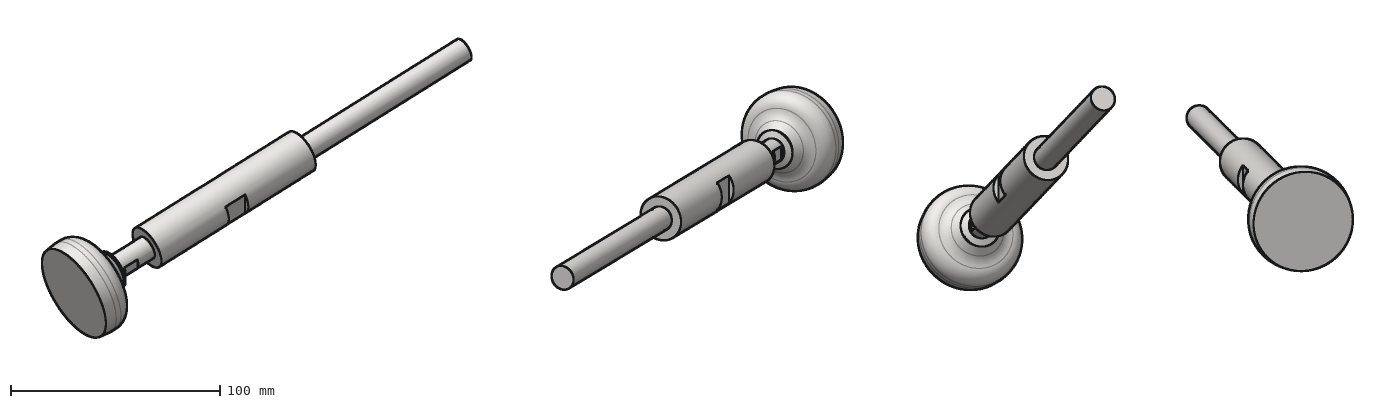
import cadquery as cq
import math


ROD_DIAMETER = 12.0
ROD_END = 240.0
ROD_FLAT_WIDTH = 10.0
ROD_FLAT_START = 27.0
ROD_FLAT_LENGTH = 8.0
COLLAR_DIAMETER = 19.4
COLLAR_EDGE = 24.0
COLLAR_TOP = 25.4

SLEEVE_DIAMETER = 22.0
SLEEVE_START = 45.0
SLEEVE_LENGTH = 95.0
SLEEVE_FLAT_WIDTH = 17.0
SLEEVE_FLAT_LENGTH = 12.0

FOOT_DIAMETER = 50.0
SOLE_DIAMETER = 48.6
BAND_START = 5.8
BAND_END = 8.7
SHOULDER_RADIUS = 8.0
NECK_RADIUS = 10.0
HUB_TOP_RADIUS = 9.0
HUB_TOP = 23.4
SOCKET_FLOOR = 19.5


def cylinder_along_y(diameter, start, end):
    """Round bar on the Y axis between two Y positions."""
    bar = cq.Workplane("XY").circle(diameter / 2).extrude(end - start)
    return bar.rotate((0, 0, 0), (1, 0, 0), -90).translate((0, start, 0))


def cut_wrench_flats(bar, bar_diameter, width_across_flats, start, length):
    """Cut two flats, facing -X and +X, into a round bar."""
    depth = (bar_diameter - width_across_flats) / 2
    for side in (-1, 1):
        cutter = cq.Workplane("XY").box(depth, length, bar_diameter)
        center_x = side * (width_across_flats + depth) / 2
        bar = bar.cut(cutter.translate((center_x, start + length / 2, 0)))
    return bar


def make_rod():
    rod_radius = ROD_DIAMETER / 2
    profile = (
        cq.Workplane("XY")
        .moveTo(0, SOCKET_FLOOR)
        .lineTo(rod_radius, SOCKET_FLOOR)
        .lineTo(rod_radius, HUB_TOP)
        .lineTo(HUB_TOP_RADIUS, HUB_TOP)
        .lineTo(COLLAR_DIAMETER / 2, COLLAR_EDGE)
        .lineTo(rod_radius, COLLAR_TOP)
        .lineTo(rod_radius, ROD_END)
        .lineTo(0, ROD_END)
        .close()
    )
    rod = profile.revolve(360, (0, 0, 0), (0, 1, 0))
    return cut_wrench_flats(rod, ROD_DIAMETER, ROD_FLAT_WIDTH, ROD_FLAT_START, ROD_FLAT_LENGTH)


def make_sleeve():
    sleeve_end = SLEEVE_START + SLEEVE_LENGTH
    flat_start = SLEEVE_START + (SLEEVE_LENGTH - SLEEVE_FLAT_LENGTH) / 2
    sleeve = cylinder_along_y(SLEEVE_DIAMETER, SLEEVE_START, sleeve_end)
    sleeve = cut_wrench_flats(
        sleeve, SLEEVE_DIAMETER, SLEEVE_FLAT_WIDTH, flat_start, SLEEVE_FLAT_LENGTH
    )
    return sleeve.cut(cylinder_along_y(ROD_DIAMETER, SLEEVE_START, sleeve_end))


def point_on_arc(center, radius, angle):
    return (center[0] + radius * math.cos(angle), center[1] + radius * math.sin(angle))


def make_foot():
    foot_radius = FOOT_DIAMETER / 2
    rod_radius = ROD_DIAMETER / 2

    shoulder_center = (foot_radius - SHOULDER_RADIUS, BAND_END)

    hub_to_shoulder = (HUB_TOP_RADIUS + HUB_TOP - sum(shoulder_center)) / math.sqrt(2)
    across = hub_to_shoulder + NECK_RADIUS
    along = math.sqrt((SHOULDER_RADIUS + NECK_RADIUS) ** 2 - across**2)
    center_angle = math.pi / 4 + math.atan2(along, across)
    neck_center = point_on_arc(shoulder_center, SHOULDER_RADIUS + NECK_RADIUS, center_angle)

    shoulder_middle = point_on_arc(shoulder_center, SHOULDER_RADIUS, center_angle / 2)
    shoulder_end = point_on_arc(shoulder_center, SHOULDER_RADIUS, center_angle)
    neck_start_angle = center_angle + math.pi
    neck_end_angle = math.pi * 5 / 4
    neck_middle = point_on_arc(neck_center, NECK_RADIUS, (neck_start_angle + neck_end_angle) / 2)
    neck_end = point_on_arc(neck_center, NECK_RADIUS, neck_end_angle)

    profile = (
        cq.Workplane("XY")
        .lineTo(SOLE_DIAMETER / 2, 0)
        .lineTo(foot_radius, BAND_START)
        .lineTo(foot_radius, BAND_END)
        .threePointArc(shoulder_middle, shoulder_end)
        .threePointArc(neck_middle, neck_end)
        .lineTo(HUB_TOP_RADIUS, HUB_TOP)
        .lineTo(rod_radius, HUB_TOP)
        .lineTo(rod_radius, SOCKET_FLOOR)
        .lineTo(0, SOCKET_FLOOR)
        .close()
    )
    return profile.revolve(360, (0, 0, 0), (0, 1, 0))


rod = make_rod()
sleeve = make_sleeve()
foot = make_foot()

result = cq.Compound.makeCompound([rod.val(), sleeve.val(), foot.val()])